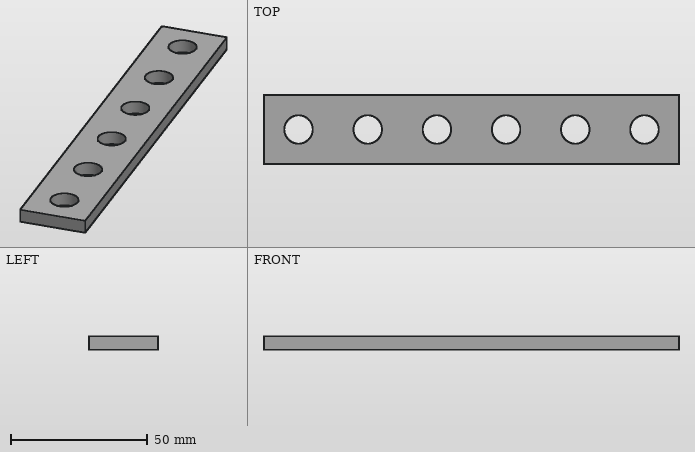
import cadquery as cq

length = 152.4
width = 25.5
thickness = 5.0

hole_count = 6
hole_diameter = 10.4
hole_pitch = length / hole_count

bar = cq.Workplane("XY").box(length, width, thickness)

result = (
    bar.faces(">Z")
    .workplane()
    .rarray(hole_pitch, width, hole_count, 1)
    .hole(hole_diameter)
)